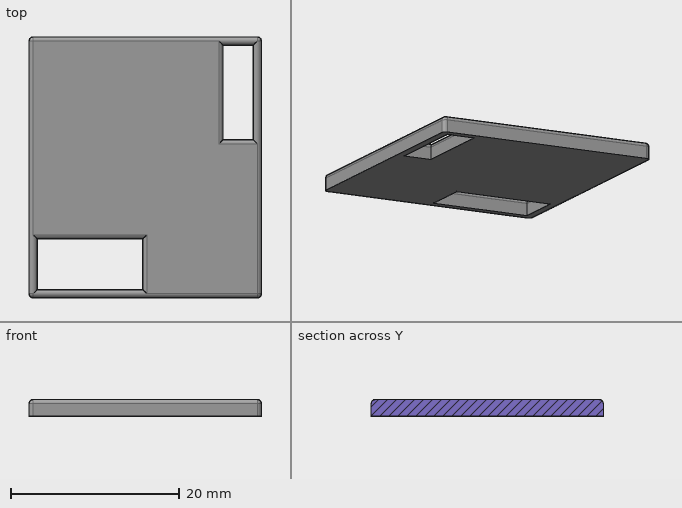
import cadquery as cq

width = 27.61
length = 31.0
thickness = 2.0
edge_radius = 0.5

rim_width = 2 * edge_radius

front_window_width = 12.5
front_window_length = 6.0
back_window_width = 3.55
back_window_length = 11.2

blank_margin = 5.0


def make_plate():
    """Solid plate with rounded vertical corners and a rounded top outline."""
    plate = cq.Workplane("XY").box(width, length, thickness, centered=False)
    plate = plate.edges("|Z").fillet(edge_radius)
    return plate.faces(">Z").edges().fillet(edge_radius)


def make_window(left, front, window_width, window_length):
    """Sharp-cornered cutter that passes through the full thickness."""
    cutter = cq.Workplane("XY").box(window_width, window_length, thickness, centered=False)
    return cutter.translate((left, front, 0))


def make_window_blank():
    """Oversized slab pierced by both windows, with their top edges rounded."""
    slab = cq.Workplane("XY").box(
        width + 2 * blank_margin,
        length + 2 * blank_margin,
        thickness,
        centered=False,
    )
    slab = slab.translate((-blank_margin, -blank_margin, 0))

    front_window = make_window(rim_width, rim_width, front_window_width, front_window_length)
    back_window = make_window(
        width - rim_width - back_window_width,
        length - rim_width - back_window_length,
        back_window_width,
        back_window_length,
    )
    slab = slab.cut(front_window).cut(back_window)

    top_face = slab.faces(">Z").val()
    window_edges = [edge for wire in top_face.innerWires() for edge in wire.Edges()]
    return slab.newObject(window_edges).fillet(edge_radius)


result = make_plate().intersect(make_window_blank())